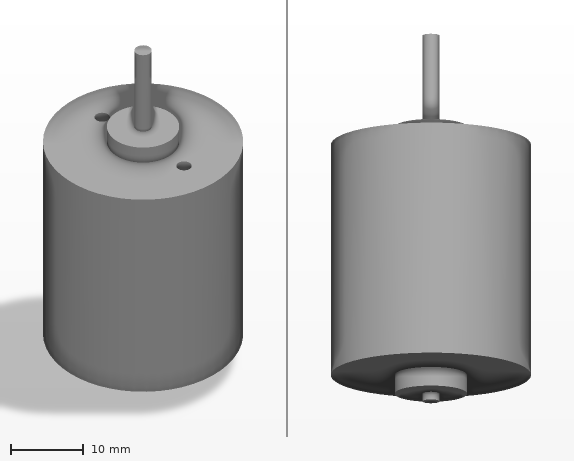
import cadquery as cq

body_diameter = 27.6
body_length = 32.5

boss_diameter = 10.0
front_boss_height = 2.55
rear_boss_height = 2.65

overall_length = 51.7
shaft_diameter = 2.4
rear_shaft_length = 1.1

hole_diameter = 2.1
hole_spacing = 16.15
hole_depth = 3.0

rear_boss_z = -rear_boss_height
shaft_bottom_z = rear_boss_z - rear_shaft_length
bosses_length = rear_boss_height + body_length + front_boss_height


def cylinder(diameter, bottom_z, length):
    """Upright cylinder centred on the motor axis."""
    return cq.Workplane("XY", origin=(0, 0, bottom_z)).circle(diameter / 2).extrude(length)


body = cylinder(body_diameter, 0, body_length)
bosses = cylinder(boss_diameter, rear_boss_z, bosses_length)
shaft = cylinder(shaft_diameter, shaft_bottom_z, overall_length)

mounting_holes = (
    cq.Workplane("XY", origin=(0, 0, body_length))
    .pushPoints([(-hole_spacing / 2, 0), (hole_spacing / 2, 0)])
    .circle(hole_diameter / 2)
    .extrude(-hole_depth)
)

result = body.union(bosses).union(shaft).cut(mounting_holes)